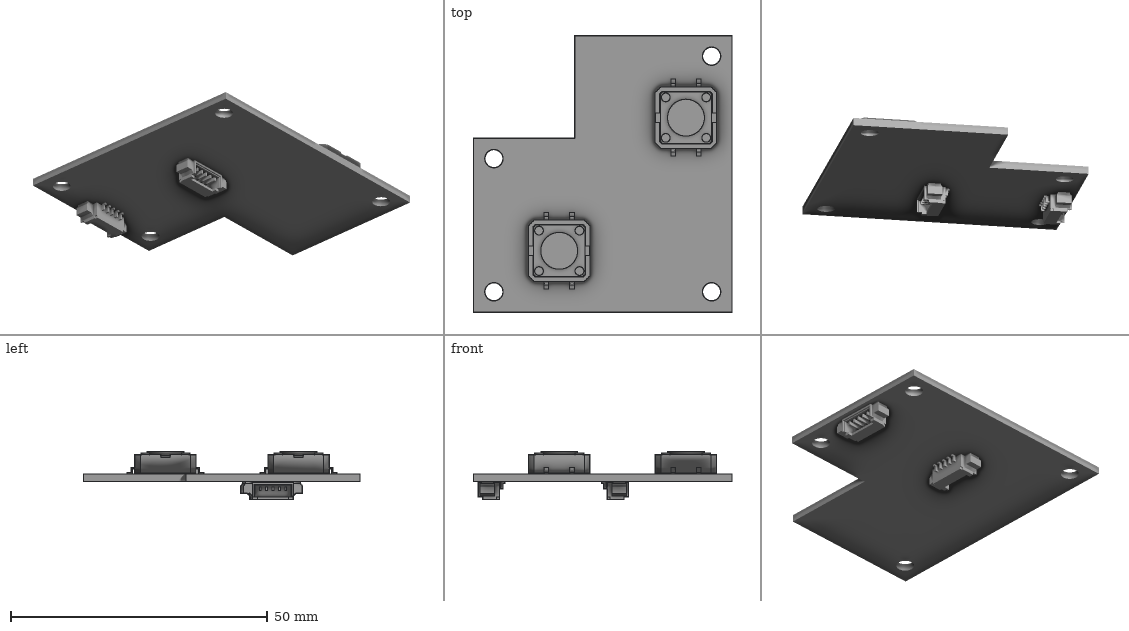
import cadquery as cq

BOARD_WIDTH = 50.5
BOARD_LENGTH = 54.0
BOARD_THICKNESS = 1.5
CUTOUT_WIDTH = 19.75
CUTOUT_LENGTH = 20.0
MOUNTING_HOLE_DIAMETER = 3.5
HOLE_INSET = 4.0
MOUNTING_HOLES = [
    (HOLE_INSET, HOLE_INSET),
    (BOARD_WIDTH - HOLE_INSET, HOLE_INSET),
    (HOLE_INSET, BOARD_LENGTH - CUTOUT_LENGTH - HOLE_INSET),
    (BOARD_WIDTH - HOLE_INSET, BOARD_LENGTH - HOLE_INSET),
]

SWITCH_CENTRES = [(16.75, 12.0), (41.5, 38.0)]
SWITCH_SIZE = 12.0
SWITCH_CORNER = 1.1
SWITCH_STANDOFF = 0.15
SWITCH_BODY_TOP = 3.75
BUTTON_DIAMETER = 7.2
BUTTON_TOP = 4.4
POST_DIAMETER = 1.7
POST_OFFSET = 3.95
POST_TOP = 4.1
COVER_SIZE = 10.0
COVER_CORNER = 0.4
RECESS_CORNER = 0.5
COVER_DROP = 0.1
GROOVE_WIDTH = 0.15
GROOVE_DEPTH = 0.25
NOTCH_WIDTH = 1.8
LEDGE_DEPTH = 0.55
LEDGE_INSET = 0.05
LEG_SPACING = 5.0
LEG_WIDTH = 0.9
LEG_REACH = 0.7
LEG_TOP = 1.25
LEG_THICKNESS = 0.3
FOOT_REACH = 1.5

CONNECTOR_HEIGHT = 3.5
CONNECTOR_WIDTH = 8.0
CONNECTOR_LENGTH = 4.2
CONNECTOR_STANDOFF = 0.15
MOUTH_HEIGHT = 3.0
FLOOR_SETBACK = 0.9
FLOOR_NOTCH_WIDTH = 6.1
FLOOR_NOTCH_LENGTH = 0.85
HEEL_LENGTH = 0.55
HEEL_DEPTH = 0.25
CAVITY_WIDTH = 7.0
CAVITY_ROOF = 0.7
CAVITY_DEPTH = 3.2
LEAD_IN_STEP = 0.17
LEAD_IN_DEPTH = 0.3
CONTACT_COUNT = 5
CONTACT_PITCH = 1.25
CONTACT_WIDTH = 0.35
BLADE_TOP = 1.05
BLADE_BOTTOM = 1.75
BLADE_START = 0.5
TAIL_GAP = 0.2
TAIL_THICKNESS = 0.5
TAIL_DROP = 1.4
TAIL_ROOT_TOP = 1.05
TAIL_FOOT_REACH = 1.05
TAIL_FOOT_THICKNESS = 0.4
EAR_START = 0.4
EAR_END = 3.25
EAR_HALF_WIDTH = 5.75
EAR_TIP_TOP = 0.85
EAR_TIP_BOTTOM = 2.3
EAR_GUSSET = 0.5
NAIL_HALF_WIDTH = 5.4
NAIL_THICKNESS = 0.4
NAIL_INSET = 0.2
CONNECTOR_PLACES = [((0.9, 17.0), 0), ((30.3, 17.55), 180)]


def box(x_range, y_range, z_range):
    """Block between the given limits along each axis."""
    (x0, x1), (y0, y1), (z0, z1) = x_range, y_range, z_range
    return cq.Workplane("XY").box(x1 - x0, y1 - y0, z1 - z0, centered=False).translate((x0, y0, z0))


def make_board():
    shelf_y = BOARD_LENGTH - CUTOUT_LENGTH
    outline = [
        (0, 0),
        (BOARD_WIDTH, 0),
        (BOARD_WIDTH, BOARD_LENGTH),
        (CUTOUT_WIDTH, BOARD_LENGTH),
        (CUTOUT_WIDTH, shelf_y),
        (0, shelf_y),
    ]
    plate = cq.Workplane("XY").polyline(outline).close().extrude(BOARD_THICKNESS)
    holes = (
        cq.Workplane("XY")
        .pushPoints(MOUNTING_HOLES)
        .circle(MOUNTING_HOLE_DIAMETER / 2)
        .extrude(BOARD_THICKNESS)
    )
    return plate.cut(holes)


def chamfered_square(size, corner, bottom, top):
    """Square prism centred on the Z axis, with its four upright edges chamfered."""
    prism = cq.Workplane("XY").workplane(offset=bottom).rect(size, size).extrude(top - bottom)
    return prism.edges("|Z").chamfer(corner)


def make_switch_leg():
    """Gull-wing leg on the +Y side, centred on X = 0."""
    side = SWITCH_SIZE / 2
    knee = side + LEG_REACH
    profile = [
        (side, LEG_TOP),
        (knee, LEG_TOP),
        (knee, LEG_THICKNESS),
        (side + FOOT_REACH, LEG_THICKNESS),
        (side + FOOT_REACH, 0),
        (knee - LEG_THICKNESS, 0),
        (knee - LEG_THICKNESS, LEG_TOP - LEG_THICKNESS),
        (side, LEG_TOP - LEG_THICKNESS),
    ]
    return cq.Workplane("YZ").polyline(profile).close().extrude(LEG_WIDTH / 2, both=True)


def make_switch():
    """Switch centred on the Z axis, standing on Z = 0."""
    half_size = SWITCH_SIZE / 2
    groove_floor = SWITCH_BODY_TOP - GROOVE_DEPTH
    cover_top = SWITCH_BODY_TOP - COVER_DROP
    recess_size = COVER_SIZE + 2 * GROOVE_WIDTH

    switch = chamfered_square(SWITCH_SIZE, SWITCH_CORNER, SWITCH_STANDOFF, SWITCH_BODY_TOP)

    switch = switch.cut(chamfered_square(recess_size, RECESS_CORNER, groove_floor, SWITCH_BODY_TOP))
    notch_y = (-NOTCH_WIDTH / 2, NOTCH_WIDTH / 2)
    switch = switch.cut(box((-half_size, half_size), notch_y, (groove_floor, SWITCH_BODY_TOP)))
    ledge_z = (SWITCH_BODY_TOP - LEDGE_DEPTH, SWITCH_BODY_TOP)
    ledge = box((half_size - LEDGE_INSET, half_size), notch_y, ledge_z)
    switch = switch.cut(ledge).cut(ledge.mirror("YZ"))

    switch = switch.union(chamfered_square(COVER_SIZE, COVER_CORNER, groove_floor, cover_top))
    plunger = cq.Workplane("XY").workplane(offset=groove_floor)
    posts = (
        plunger.rect(2 * POST_OFFSET, 2 * POST_OFFSET, forConstruction=True)
        .vertices()
        .circle(POST_DIAMETER / 2)
        .extrude(POST_TOP - groove_floor)
    )
    button = plunger.circle(BUTTON_DIAMETER / 2).extrude(BUTTON_TOP - groove_floor)
    switch = switch.union(posts).union(button)

    for leg_x in (-LEG_SPACING / 2, LEG_SPACING / 2):
        leg = make_switch_leg().translate((leg_x, 0, 0))
        switch = switch.union(leg).union(leg.mirror("XZ"))
    return switch


def make_connector_shell():
    """Housing open at the mouth, with its floor set back and notched."""
    half_width = CONNECTOR_WIDTH / 2
    profile = [
        (0, -CONNECTOR_STANDOFF),
        (CONNECTOR_LENGTH, -CONNECTOR_STANDOFF),
        (CONNECTOR_LENGTH, -CONNECTOR_HEIGHT),
        (FLOOR_SETBACK, -CONNECTOR_HEIGHT),
        (FLOOR_SETBACK, -MOUTH_HEIGHT),
        (0, -MOUTH_HEIGHT),
    ]
    shell = cq.Workplane("XZ").polyline(profile).close().extrude(half_width, both=True)

    cavity_half = CAVITY_WIDTH / 2
    cavity = box((0, CAVITY_DEPTH), (-cavity_half, cavity_half), (-MOUTH_HEIGHT, -CAVITY_ROOF))
    lead_half = cavity_half + LEAD_IN_STEP
    lead_z = (-MOUTH_HEIGHT, LEAD_IN_STEP - CAVITY_ROOF)
    lead_in = box((0, LEAD_IN_DEPTH), (-lead_half, lead_half), lead_z)
    notch_x = (FLOOR_SETBACK, FLOOR_SETBACK + FLOOR_NOTCH_LENGTH)
    notch_half = FLOOR_NOTCH_WIDTH / 2
    floor_notch = box(notch_x, (-notch_half, notch_half), (-CONNECTOR_HEIGHT, -MOUTH_HEIGHT))
    shell = shell.cut(cavity).cut(lead_in).cut(floor_notch)

    heel_x = (CONNECTOR_LENGTH - HEEL_LENGTH, CONNECTOR_LENGTH)
    heel = box(heel_x, (half_width - HEEL_DEPTH, half_width), (-CONNECTOR_HEIGHT, -MOUTH_HEIGHT))
    return shell.cut(heel).cut(heel.mirror("XZ"))


def make_ear():
    """Side ear on the +Y side, with the solder nail between it and the board."""
    side = CONNECTOR_WIDTH / 2
    profile = [
        (side, -NAIL_THICKNESS),
        (NAIL_HALF_WIDTH, -NAIL_THICKNESS),
        (EAR_HALF_WIDTH, -EAR_TIP_TOP),
        (EAR_HALF_WIDTH, -EAR_TIP_BOTTOM),
        (side + EAR_GUSSET, -EAR_TIP_BOTTOM),
        (side, -EAR_TIP_BOTTOM - EAR_GUSSET),
    ]
    ear = cq.Workplane("YZ").polyline(profile).close().extrude(EAR_END - EAR_START)
    ear = ear.translate((EAR_START, 0, 0))
    nail_x = (EAR_START + NAIL_INSET, EAR_END - NAIL_INSET)
    return ear.union(box(nail_x, (side, NAIL_HALF_WIDTH), (-NAIL_THICKNESS, 0)))


def make_contact():
    """Contact blade inside the cavity and its solder tail behind the housing."""
    half_width = CONTACT_WIDTH / 2
    blade = box((BLADE_START, CAVITY_DEPTH), (-half_width, half_width), (-BLADE_BOTTOM, -BLADE_TOP))
    tail_front = CONNECTOR_LENGTH + TAIL_GAP
    tail_back = tail_front + TAIL_THICKNESS
    foot_end = CONNECTOR_LENGTH + TAIL_FOOT_REACH
    profile = [
        (CONNECTOR_LENGTH, -TAIL_ROOT_TOP),
        (tail_front, -TAIL_ROOT_TOP),
        (tail_front, 0),
        (foot_end, 0),
        (foot_end, -TAIL_FOOT_THICKNESS),
        (tail_back, -TAIL_FOOT_THICKNESS),
        (tail_back, -TAIL_DROP),
        (CONNECTOR_LENGTH, -TAIL_DROP),
    ]
    tail = cq.Workplane("XZ").polyline(profile).close().extrude(half_width, both=True)
    return blade, tail


def make_connector():
    connector = make_connector_shell()
    ear = make_ear()
    connector = connector.union(ear).union(ear.mirror("XZ"))
    blade, tail = make_contact()
    for index in range(CONTACT_COUNT):
        contact_y = (index - (CONTACT_COUNT - 1) / 2) * CONTACT_PITCH
        for piece in (blade, tail):
            connector = connector.union(piece.translate((0, contact_y, 0)))
    return connector


board = make_board()

switches = []
for switch_x, switch_y in SWITCH_CENTRES:
    switches.append(make_switch().translate((switch_x, switch_y, BOARD_THICKNESS)).val())

connectors = []
for (mouth_x, mouth_y), turn in CONNECTOR_PLACES:
    turned = make_connector().rotate((0, 0, 0), (0, 0, 1), turn)
    connectors.append(turned.translate((mouth_x, mouth_y, 0)).val())

result = cq.Compound.makeCompound([board.val(), *switches, *connectors])